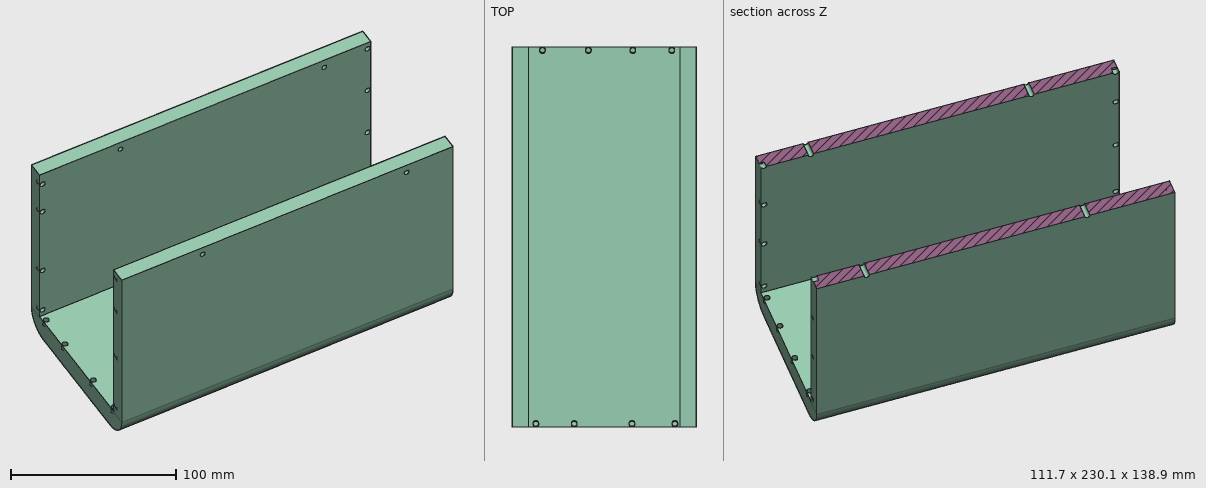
import cadquery as cq
import math

width = 111.66
length = 230.13
height = 138.94

wall = 10.0
base_height = 15.2
floor_height = 15.9
corner_radius = 15.0

blind_diameter = 3.5
blind_depth = 3.8
blind_inset = 2.2
blind_lean = 7.2

cross_diameter = 3.2
cross_holes = [(-58.8, 133.1), (82.8, 132.7)]

front_floor_x = [-41.4, -18.2, 16.8, 42.8]
back_floor_x = [-37.4, -9.6, 17.3, 40.9]
front_left_z = [20.6, 54.9, 106.1, 130.0]
front_right_z = [21.3, 65.0, 105.4, 133.0]
back_wall_z = [21.3, 60.9, 97.5, 133.6]

half_width = width / 2
half_length = length / 2
inner_x = half_width - wall


def block(size_x, size_z, center_x, bottom_z):
    """Full-length block standing on bottom_z."""
    body = cq.Workplane("XY").box(size_x, length, size_z, centered=(True, True, False))
    return body.translate((center_x, 0, bottom_z))


def make_base():
    """Base slab with both lower edges rounded, and the floor raised between the walls."""
    slab = block(width, base_height, 0, 0).edges("|Y and <Z").fillet(corner_radius)
    raised_floor = block(2 * inner_x, floor_height - base_height, 0, base_height)
    return slab.union(raised_floor)


def blind_hole(mouth, inward, end):
    """Hole from a mouth point along the inward normal, leaning towards the end (-1 or +1)."""
    lean = math.radians(blind_lean)
    axis = inward * math.cos(lean) + cq.Vector(0, end * math.sin(lean), 0)
    overlap = 1.0
    start = mouth - axis * overlap
    return cq.Solid.makeCylinder(blind_diameter / 2, blind_depth + overlap, start, axis)


def end_holes(end, floor_x, left_z, right_z):
    """All holes along one end: floor row plus one row in each wall."""
    mouth_y = end * (half_length - blind_inset)
    down = cq.Vector(0, 0, -1)
    left = cq.Vector(-1, 0, 0)
    right = cq.Vector(1, 0, 0)
    holes = [blind_hole(cq.Vector(x, mouth_y, floor_height), down, end) for x in floor_x]
    holes += [blind_hole(cq.Vector(-inner_x, mouth_y, z), left, end) for z in left_z]
    holes += [blind_hole(cq.Vector(inner_x, mouth_y, z), right, end) for z in right_z]
    return holes


def cross_cutters():
    """Drills running straight through both walls."""
    along_x = cq.Vector(1, 0, 0)
    return [
        cq.Solid.makeCylinder(cross_diameter / 2, width, cq.Vector(-half_width, y, z), along_x)
        for y, z in cross_holes
    ]


result = make_base()
for side in (-1, 1):
    wall_block = block(wall, height - base_height, side * (half_width - wall / 2), base_height)
    result = result.union(wall_block, clean=False)

cutters = end_holes(-1, front_floor_x, front_left_z, front_right_z)
cutters += end_holes(1, back_floor_x, back_wall_z, back_wall_z)
cutters += cross_cutters()
for cutter in cutters:
    result = result.cut(cq.Workplane(cutter), clean=False)